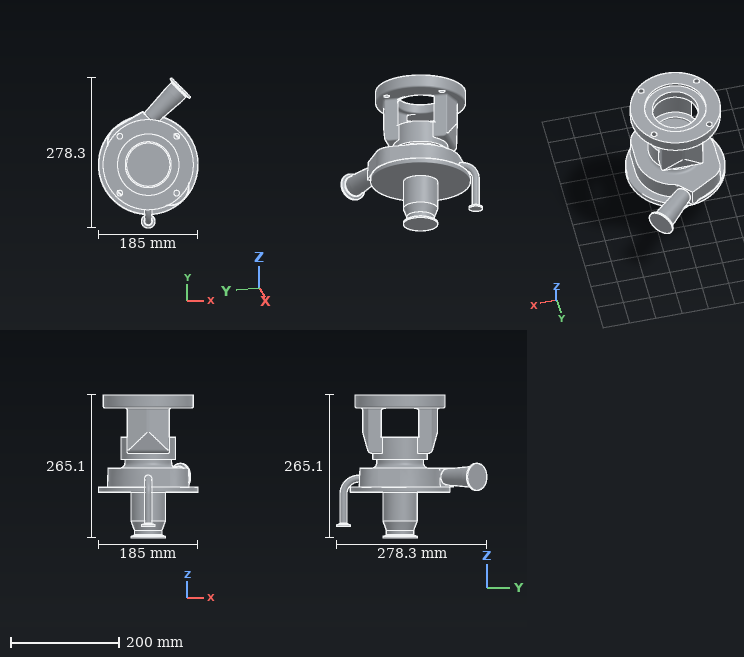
import math

import cadquery as cq

CONE_BOTTOM_Z = 14.5
CONE_TOP_Z = 31.2
PLATE_BOTTOM_Z = 84.7
PLATE_TOP_Z = 94.8
VOLUTE_BAND_Z = 126.0
VOLUTE_TOP_Z = 129.5
COLLAR_BOTTOM_Z = 145.4
LEG_BOTTOM_Z = 156.3
COLLAR_TOP_Z = 186.8
LEG_SLOPE_TOP_Z = 195.3
FLANGE_BOTTOM_Z = 240.7
FLANGE_TOP_Z = 265.1

SUCTION_PIPE_RADIUS = 25.65
SUCTION_RIM_RADIUS = 32.0
SUCTION_BODY_RADIUS = 32.0

FERRULE_RIM_THICKNESS = 3.2
FERRULE_HEIGHT = 6.4
FERRULE_NECK_STEP = 1.0
FERRULE_TAPER_ANGLE = 20.0

PLATE_RADIUS = 92.5
PLATE_EDGE_FILLET = 1.0

VOLUTE_HALF_WIDTH = 75.8
VOLUTE_CORNER_CENTRE = 40.6
VOLUTE_CORNER_RADIUS = VOLUTE_HALF_WIDTH - VOLUTE_CORNER_CENTRE
VOLUTE_DRAFT_ANGLE = 2.3
VOLUTE_DRAFT_INSET = (VOLUTE_BAND_Z - PLATE_TOP_Z) * math.tan(math.radians(VOLUTE_DRAFT_ANGLE))
THROAT_WALL_ANGLE = 30.0
MOUTH_DISTANCE = 62.6

NOZZLE_DIRECTION_ANGLE = 45.0
NOZZLE_OFFSET = 58.1
NOZZLE_AXIS_Z = 113.3
NOZZLE_START = MOUTH_DISTANCE - VOLUTE_DRAFT_INSET
NOZZLE_CONE_END = 123.0
NOZZLE_END = 144.1
NOZZLE_INLET_RADIUS = 14.8
NOZZLE_INLET_FILLET = 4.0
NOZZLE_PIPE_RADIUS = 19.05
NOZZLE_RIM_RADIUS = 25.25

DRAIN_TUBE_RADIUS = 6.6
DRAIN_RIM_RADIUS = 12.7
DRAIN_AXIS_Y = -104.8
DRAIN_AXIS_Z = 110.1
DRAIN_BEND_RADIUS = 28.5
DRAIN_BOTTOM_Z = 21.4
DRAIN_START_Y = -65.0

NECK_RADIUS = 43.5
NECK_FLARE_RADIUS = 9.8
COLLAR_RADIUS = 50.6
COLLAR_BORE_RADIUS = 40.0
COLLAR_BORE_DEPTH = 5.0
COLLAR_BORE_FILLET = 1.3

FLANGE_RADIUS = 83.6
FLANGE_EDGE_FILLET = 3.7
FLANGE_RECESS_RADIUS = 56.9
FLANGE_RECESS_DEPTH = 6.5
FLANGE_BORE_RADIUS = 42.6
FLANGE_BORE_FILLET = 3.0
BOLT_HOLE_DIAMETER = 10.5
BOLT_CIRCLE_RADIUS = 74.3
BOLT_COUNT = 4
BOLT_START_ANGLE = 45.0

LEG_HALF_WIDTH = 39.0
LEG_SIDE_Y = 59.5
LEG_RIDGE_Y = 69.3
LEG_RIDGE_HALF_WIDTH = 2.5
LEG_BOTTOM_Y = 58.4
LEG_INNER_RADIUS = 52.0
LEG_EDGE_FILLET = 3.0
LEG_TOE_FILLET = 10.5
LEG_ROOT_FILLET = 4.2

SELECTION_MARGIN = 0.1


def cylinder(radius, bottom_z, top_z):
    return cq.Workplane("XY").workplane(offset=bottom_z).circle(radius).extrude(top_z - bottom_z)


def ferrule_outline(rim_radius, pipe_radius):
    """Outer half-section of a clamp ferrule as (radius, height) from its end face."""
    shoulder_radius = pipe_radius + FERRULE_NECK_STEP
    taper_rise = (rim_radius - shoulder_radius) * math.tan(math.radians(FERRULE_TAPER_ANGLE))
    return [
        (0, 0),
        (rim_radius, 0),
        (rim_radius, FERRULE_RIM_THICKNESS),
        (shoulder_radius, FERRULE_RIM_THICKNESS + taper_rise),
        (pipe_radius, FERRULE_HEIGHT),
    ]


def revolved(outline):
    """Solid of revolution about Z from a (radius, height) half-section."""
    return cq.Workplane("XZ").polyline(outline).close().revolve(360, (0, 0, 0), (0, 1, 0))


def make_suction_column():
    outline = ferrule_outline(SUCTION_RIM_RADIUS, SUCTION_PIPE_RADIUS) + [
        (SUCTION_PIPE_RADIUS, CONE_BOTTOM_Z),
        (SUCTION_BODY_RADIUS, CONE_TOP_Z),
        (SUCTION_BODY_RADIUS, PLATE_BOTTOM_Z),
        (0, PLATE_BOTTOM_Z),
    ]
    return revolved(outline)


def make_plate():
    return cylinder(PLATE_RADIUS, PLATE_BOTTOM_Z, PLATE_TOP_Z).edges().fillet(PLATE_EDGE_FILLET)


def volute_outline(inset):
    """Spiral casing outline in plan, moved inwards by inset."""
    half = VOLUTE_HALF_WIDTH - inset
    centre = VOLUTE_CORNER_CENTRE
    radius = VOLUTE_CORNER_RADIUS - inset
    mouth = MOUTH_DISTANCE - inset
    diagonal = math.sqrt(0.5)

    def throat_corner_point(angle):
        return (
            -centre + radius * math.cos(math.radians(angle)),
            centre + radius * math.sin(math.radians(angle)),
        )

    tangent_angle = 90 + THROAT_WALL_ANGLE
    throat_start = throat_corner_point(tangent_angle)
    slope = math.tan(math.radians(THROAT_WALL_ANGLE))
    tip_x = (mouth / diagonal - throat_start[1] + slope * throat_start[0]) / (1 + slope)
    tip = (tip_x, mouth / diagonal - tip_x)

    mouth_half = math.sqrt(half**2 - mouth**2)
    mouth_end = ((mouth - mouth_half) * diagonal, (mouth + mouth_half) * diagonal)
    corner_mid = centre + radius * diagonal

    return (
        cq.Workplane("XY")
        .moveTo(-half, 0)
        .threePointArc((-half * diagonal, -half * diagonal), (0, -half))
        .lineTo(centre, -half)
        .threePointArc((corner_mid, -corner_mid), (half, -centre))
        .lineTo(half, 0)
        .threePointArc((half * diagonal, half * diagonal), mouth_end)
        .lineTo(*tip)
        .lineTo(*throat_start)
        .threePointArc(throat_corner_point((tangent_angle + 180) / 2), (-half, centre))
        .close()
    )


def make_volute():
    drafted = volute_outline(0).extrude(VOLUTE_BAND_Z - PLATE_TOP_Z, taper=VOLUTE_DRAFT_ANGLE)
    band = volute_outline(VOLUTE_DRAFT_INSET).extrude(VOLUTE_TOP_Z - VOLUTE_BAND_Z)
    drafted = drafted.translate((0, 0, PLATE_TOP_Z))
    return drafted.union(band.translate((0, 0, VOLUTE_BAND_Z)))


def make_nozzle():
    """Conical nozzle built upright with its ferrule down, then laid along its axis."""
    length = NOZZLE_END - NOZZLE_START
    cone_start = NOZZLE_END - NOZZLE_CONE_END
    outline = ferrule_outline(NOZZLE_RIM_RADIUS, NOZZLE_PIPE_RADIUS) + [
        (NOZZLE_PIPE_RADIUS, cone_start),
        (NOZZLE_INLET_RADIUS, length),
        (0, length),
    ]
    nozzle = revolved(outline).faces(">Z").edges().fillet(NOZZLE_INLET_FILLET)
    return (
        nozzle.rotate((0, 0, 0), (0, 1, 0), -90)
        .translate((NOZZLE_END, NOZZLE_OFFSET, NOZZLE_AXIS_Z))
        .rotate((0, 0, 0), (0, 0, 1), NOZZLE_DIRECTION_ANGLE)
    )


def make_drain():
    bend_start_y = DRAIN_AXIS_Y + DRAIN_BEND_RADIUS
    bend_end_z = DRAIN_AXIS_Z - DRAIN_BEND_RADIUS
    bend_reach = DRAIN_BEND_RADIUS * math.sqrt(0.5)
    path = (
        cq.Workplane("YZ")
        .moveTo(DRAIN_START_Y, DRAIN_AXIS_Z)
        .lineTo(bend_start_y, DRAIN_AXIS_Z)
        .threePointArc((bend_start_y - bend_reach, bend_end_z + bend_reach), (DRAIN_AXIS_Y, bend_end_z))
        .lineTo(DRAIN_AXIS_Y, DRAIN_BOTTOM_Z)
    )
    tube = (
        cq.Workplane("XZ", origin=(0, DRAIN_START_Y, DRAIN_AXIS_Z))
        .circle(DRAIN_TUBE_RADIUS)
        .sweep(path)
    )
    outline = ferrule_outline(DRAIN_RIM_RADIUS, DRAIN_TUBE_RADIUS) + [(0, FERRULE_HEIGHT)]
    return tube.union(revolved(outline).translate((0, DRAIN_AXIS_Y, DRAIN_BOTTOM_Z)))


def make_neck():
    """Cylindrical neck that flares out onto the top of the volute."""
    flare_outer = NECK_RADIUS + NECK_FLARE_RADIUS
    flare_top = VOLUTE_TOP_Z + NECK_FLARE_RADIUS
    arc_reach = NECK_FLARE_RADIUS * math.sqrt(0.5)
    return (
        cq.Workplane("XZ")
        .moveTo(0, VOLUTE_TOP_Z)
        .lineTo(flare_outer, VOLUTE_TOP_Z)
        .threePointArc((flare_outer - arc_reach, flare_top - arc_reach), (NECK_RADIUS, flare_top))
        .lineTo(NECK_RADIUS, COLLAR_BOTTOM_Z)
        .lineTo(0, COLLAR_BOTTOM_Z)
        .close()
        .revolve(360, (0, 0, 0), (0, 1, 0))
    )


def make_collar_bore():
    bore = cylinder(COLLAR_BORE_RADIUS, COLLAR_TOP_Z - COLLAR_BORE_DEPTH, COLLAR_TOP_Z)
    return bore.faces("<Z").edges().fillet(COLLAR_BORE_FILLET)


def make_leg():
    """Leg on the +Y side: ridged in plan, sloped in towards its foot."""
    plan = (
        cq.Workplane("XY")
        .workplane(offset=LEG_BOTTOM_Z)
        .moveTo(-LEG_HALF_WIDTH, 0)
        .lineTo(LEG_HALF_WIDTH, 0)
        .lineTo(LEG_HALF_WIDTH, LEG_SIDE_Y)
        .lineTo(LEG_RIDGE_HALF_WIDTH, LEG_RIDGE_Y)
        .lineTo(-LEG_RIDGE_HALF_WIDTH, LEG_RIDGE_Y)
        .lineTo(-LEG_HALF_WIDTH, LEG_SIDE_Y)
        .close()
        .extrude(FLANGE_BOTTOM_Z - LEG_BOTTOM_Z)
    )
    profile = (
        cq.Workplane("YZ")
        .moveTo(0, LEG_BOTTOM_Z)
        .lineTo(LEG_BOTTOM_Y, LEG_BOTTOM_Z)
        .lineTo(LEG_RIDGE_Y, LEG_SLOPE_TOP_Z)
        .lineTo(LEG_RIDGE_Y, FLANGE_BOTTOM_Z)
        .lineTo(0, FLANGE_BOTTOM_Z)
        .close()
        .extrude(LEG_HALF_WIDTH, both=True)
    )
    profile = profile.faces("<Z").edges(">Y").fillet(LEG_TOE_FILLET)
    leg = plan.intersect(profile)
    return leg.faces("<X or >X").edges("not(<Y or >Z)").fillet(LEG_EDGE_FILLET)


def flange_underside_zone(half_x, half_y):
    """Selects the edges lying wholly on the flange underside within the given half sizes."""
    x = half_x + SELECTION_MARGIN
    y = half_y + SELECTION_MARGIN
    low_z = FLANGE_BOTTOM_Z - SELECTION_MARGIN
    high_z = FLANGE_BOTTOM_Z + SELECTION_MARGIN
    return cq.selectors.BoxSelector((-x, -y, low_z), (x, y, high_z), boundingbox=True)


def make_frame():
    """Motor flange standing on two opposite legs."""
    flange = cylinder(FLANGE_RADIUS, FLANGE_BOTTOM_Z, FLANGE_TOP_Z)
    flange = flange.faces("<Z").edges().fillet(FLANGE_EDGE_FILLET)

    leg = make_leg().cut(cylinder(LEG_INNER_RADIUS, COLLAR_TOP_Z, FLANGE_BOTTOM_Z))
    frame = flange.union(leg).union(leg.mirror("XZ"))
    root_zone = flange_underside_zone(LEG_HALF_WIDTH, LEG_RIDGE_Y)
    frame = frame.edges(root_zone).fillet(LEG_ROOT_FILLET)

    frame = frame.cut(cylinder(FLANGE_BORE_RADIUS, FLANGE_BOTTOM_Z, FLANGE_TOP_Z))
    bore_rim = flange_underside_zone(FLANGE_BORE_RADIUS, FLANGE_BORE_RADIUS)
    frame = frame.edges(bore_rim).fillet(FLANGE_BORE_FILLET)
    recess = cylinder(FLANGE_RECESS_RADIUS, FLANGE_TOP_Z - FLANGE_RECESS_DEPTH, FLANGE_TOP_Z)
    bolt_holes = (
        cq.Workplane("XY")
        .workplane(offset=FLANGE_BOTTOM_Z)
        .polarArray(BOLT_CIRCLE_RADIUS, BOLT_START_ANGLE, 360, BOLT_COUNT)
        .circle(BOLT_HOLE_DIAMETER / 2)
        .extrude(FLANGE_TOP_Z - FLANGE_BOTTOM_Z)
    )
    return frame.cut(recess).cut(bolt_holes)


result = (
    make_suction_column()
    .union(make_plate())
    .union(make_volute())
    .union(make_nozzle())
    .union(make_drain())
    .union(make_neck())
    .union(cylinder(COLLAR_RADIUS, COLLAR_BOTTOM_Z, COLLAR_TOP_Z))
    .union(make_frame())
    .cut(make_collar_bore())
)